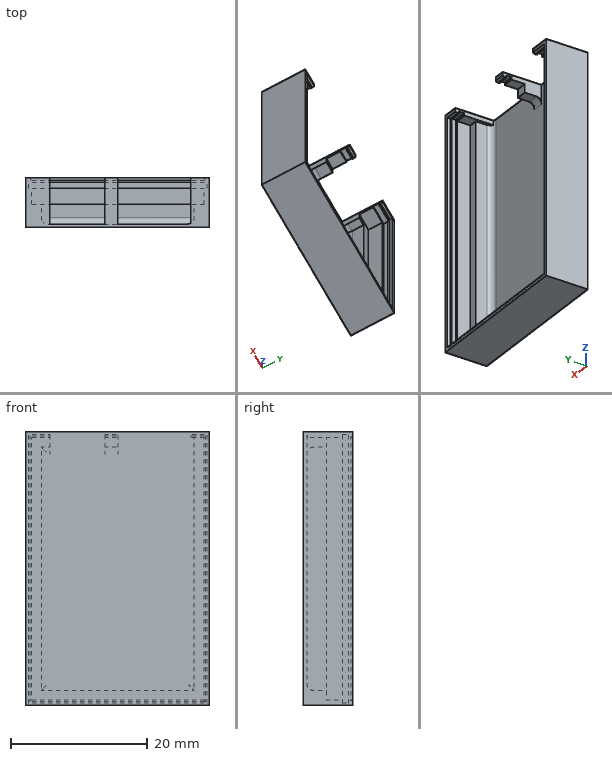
import cadquery as cq

width = 26.92
depth = 7.3
height = 40.14
plate_thickness = 0.5

rim_tip_thickness = 0.6
lip_thickness = 0.8
groove_thickness = 0.4
wall_thickness = 0.8
ledge_thickness = 2.25

lip_chamfer_y = 6.95
groove_top_y = 6.65
groove_bottom_y = 5.73
ledge_y = 3.4

corner_radius = 0.97

left_opening = (3.55, 11.6)
right_opening = (13.5, 24.18)


def cavity_layer(thickness, y_from, y_to):
    """Box inside a rim of the given thickness, between two Y levels."""
    return (
        cq.Workplane("XY")
        .box(width - 2 * thickness, y_to - y_from, height - 2 * thickness, centered=False)
        .translate((thickness, y_from, thickness))
    )


def floor_cavity():
    """Lowest part of the cavity, with its floor edges rounded into the ledge."""
    layer = cavity_layer(ledge_thickness, plate_thickness, ledge_y)
    return layer.faces("<Y").edges().fillet(corner_radius)


def right_bay():
    """Space beside the right wall's ledge, running past the upper ledge to the top."""
    x_from = right_opening[0]
    z_from = height - ledge_thickness - corner_radius
    bay = (
        cq.Workplane("XY")
        .box(width - ledge_thickness - x_from, depth - plate_thickness, height - z_from, centered=False)
        .translate((x_from, plate_thickness, z_from))
    )
    return bay.faces("<Y").edges(">X").fillet(corner_radius)


def lip_chamfer():
    """Flared mouth of the cavity, widening from the lip to the rim's tip."""
    return (
        cq.Workplane("XZ", origin=(width / 2, lip_chamfer_y, height / 2))
        .rect(width - 2 * lip_thickness, height - 2 * lip_thickness)
        .workplane(offset=lip_chamfer_y - depth)
        .rect(width - 2 * rim_tip_thickness, height - 2 * rim_tip_thickness)
        .loft(ruled=True)
    )


def rim_opening(x_from, x_to):
    """Notch through the upper rim, down to the inner face of the plate."""
    cut_height = ledge_thickness + corner_radius
    return (
        cq.Workplane("XY")
        .box(x_to - x_from, depth - plate_thickness, cut_height, centered=False)
        .translate((x_from, plate_thickness, height - cut_height))
    )


result = cq.Workplane("XY").box(width, depth, height, centered=False)
result = result.cut(floor_cavity())
result = result.cut(cavity_layer(wall_thickness, ledge_y, groove_bottom_y))
result = result.cut(cavity_layer(groove_thickness, groove_bottom_y, groove_top_y))
result = result.cut(cavity_layer(lip_thickness, groove_top_y, lip_chamfer_y))
result = result.cut(lip_chamfer())
under_rim = cavity_layer(wall_thickness, plate_thickness, ledge_y)
result = result.cut(right_bay().intersect(under_rim))
result = result.cut(rim_opening(*left_opening))
result = result.cut(rim_opening(*right_opening).intersect(right_bay()))